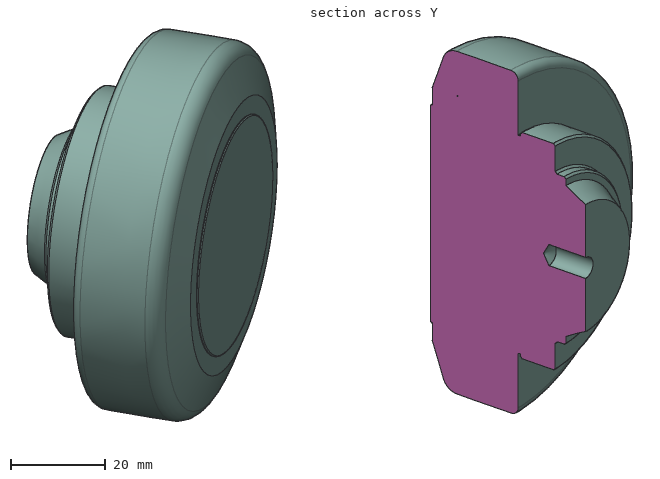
import cadquery as cq
import math

overall_length = 41.5

nose_end_radius = 15.1
nose_base_radius = 18.0
nose_length = 5.2

collar_radius = 40.0 / 2
collar_end_x = 8.1

disc_radius = 54.0 / 2
disc_end_x = 17.5
edge_chamfer = 0.5

neck_radius = 52.0 / 2

wheel_start_x = 18.0
wheel_end_x = 41.1
wheel_radius = 40.9
tread_start_x = 20.0
tread_end_x = 34.35
crown_radius = 499.8
shoulder_radius = 4.0
cone_slope = math.radians(70)

cap_radius = neck_radius
cap_chamfer = 0.25

hole_diameter = 4.9
hole_depth = 9.8
drill_point_angle = math.radians(120)


def revolve(profile):
    """Revolve a closed (x, radius) profile about the X axis."""
    return profile.close().revolve(360, (0, 0, 0), (1, 0, 0))


def make_hub():
    """Nose, collar, inner disc and neck, reaching through the wheel to the cap."""
    profile = (
        cq.Workplane("XY")
        .lineTo(0, nose_end_radius)
        .lineTo(nose_length, nose_base_radius)
        .lineTo(nose_length, collar_radius - edge_chamfer)
        .lineTo(nose_length + edge_chamfer, collar_radius)
        .lineTo(collar_end_x - edge_chamfer, collar_radius)
        .lineTo(collar_end_x, collar_radius + edge_chamfer)
        .lineTo(collar_end_x, disc_radius - edge_chamfer)
        .lineTo(collar_end_x + edge_chamfer, disc_radius)
        .lineTo(disc_end_x - edge_chamfer, disc_radius)
        .lineTo(disc_end_x, disc_radius - edge_chamfer)
        .lineTo(disc_end_x, neck_radius)
        .lineTo(overall_length - cap_chamfer, cap_radius)
        .lineTo(overall_length, cap_radius - cap_chamfer)
        .lineTo(overall_length, 0)
    )
    return revolve(profile)


def make_wheel():
    """Wheel with a rounded inner edge, crowned tread, rounded shoulder and outer cone."""
    tread_middle_x = (tread_start_x + tread_end_x) / 2
    half_tread = (tread_end_x - tread_start_x) / 2
    crown_height = crown_radius - math.sqrt(crown_radius**2 - half_tread**2)
    edge_radius = wheel_radius - crown_height
    inner_rounding = tread_start_x - wheel_start_x

    def shoulder_point(angle):
        return (
            tread_end_x + shoulder_radius * math.sin(angle),
            edge_radius - shoulder_radius * (1 - math.cos(angle)),
        )

    cone_start = shoulder_point(cone_slope)
    cone_end_radius = cone_start[1] - (wheel_end_x - cone_start[0]) * math.tan(cone_slope)

    diagonal = inner_rounding * math.sqrt(0.5)
    profile = (
        cq.Workplane("XY")
        .moveTo(wheel_start_x, 0)
        .lineTo(wheel_start_x, edge_radius - inner_rounding)
        .threePointArc(
            (tread_start_x - diagonal, edge_radius - inner_rounding + diagonal),
            (tread_start_x, edge_radius),
        )
        .threePointArc((tread_middle_x, wheel_radius), (tread_end_x, edge_radius))
        .threePointArc(shoulder_point(cone_slope / 2), cone_start)
        .lineTo(wheel_end_x, cone_end_radius)
        .lineTo(wheel_end_x, 0)
    )
    return revolve(profile)


def make_hole():
    """Straight bore from the nose face with a conical bottom."""
    hole_radius = hole_diameter / 2
    point_length = hole_radius / math.tan(drill_point_angle / 2)
    profile = (
        cq.Workplane("XY")
        .lineTo(0, hole_radius)
        .lineTo(hole_depth, hole_radius)
        .lineTo(hole_depth + point_length, 0)
    )
    return revolve(profile)


result = make_hub().union(make_wheel()).cut(make_hole())